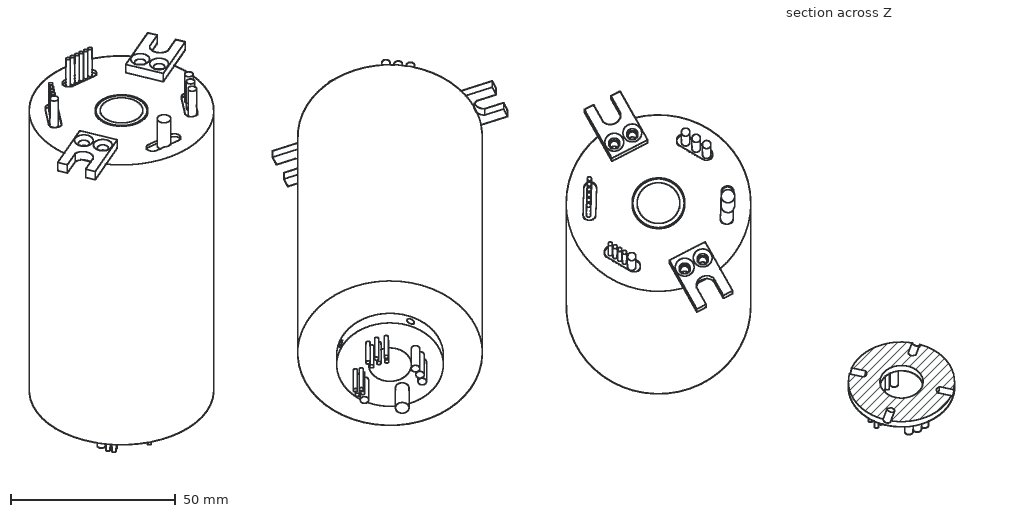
import cadquery as cq
import math

TOTAL_HEIGHT = 129.4
FLANGE_BOTTOM = 9.6
FLANGE_TOP = 14.2
BODY_BOTTOM = 15.1
BODY_TOP = 120.3

BODY_DIAMETER = 56.0
NECK_RADIUS = 14.0
FLANGE_RADIUS = 16.2
BORE_RADIUS = 6.5

GROOVE_INNER_RADIUS = 7.8
GROOVE_OUTER_RADIUS = 8.0
GROOVE_DEPTH = 0.4

TAB_SPAN = 72.0
TAB_WIDTH = 12.3
TAB_LENGTH = 17.6
TAB_THICKNESS = 3.1
FORK_WIDTH = 6.0
FORK_DEPTH = 8.3
FORK_ARC_RISE = 2.1

SCREW_SPACING = 6.2
SCREW_ROW_Y = 22.5
CLEARANCE_RADIUS = 1.7
COUNTERSINK_RADIUS = 2.8
COUNTERSINK_DEPTH = 1.2
PILOT_RADIUS = 1.3
PILOT_DEPTH = 5.2
DRILL_TIP_ANGLE = 118.0

SET_SCREW_RADIUS = 1.2
SET_SCREW_DEPTH = 4.5

SMALL_WIRE_RADIUS = 0.6
MEDIUM_WIRE_RADIUS = 1.3
LARGE_WIRE_RADIUS = 2.1

SLOT_CIRCLE_RADIUS = 20.8
SLOT_ANGLE = 30.0
SLOT_WIDTH = 3.9
SLOT_STRAIGHT = 8.3
SLOT_DEPTH = 1.0
TOP_WIRE_CIRCLE_RADIUS = 21.1

ROW_START = 4.1
SMALL_PITCH = 1.7
MEDIUM_PITCH = 3.8
MIXED_PITCH = 2.6

BOTTOM_WIRE_CIRCLE_RADIUS = 9.8
BOTTOM_ROW_OFFSET = 0.9
BOTTOM_WIRE_ANGLE = 16.0
BOTTOM_PAIR_ANGLE = 10.0


def cylinder(radius, bottom, top):
    return cq.Workplane("XY").workplane(offset=bottom).circle(radius).extrude(top - bottom)


def turned(shape, angle):
    """Shape turned about the Z axis."""
    return shape.rotate((0, 0, 0), (0, 0, 1), angle)


def drilled_hole(radius, depth):
    """Blind hole running down from the origin, with a conical drill tip."""
    tip = radius / math.tan(math.radians(DRILL_TIP_ANGLE / 2))
    outline = [(0, 0), (radius, 0), (radius, -depth), (0, -depth - tip)]
    return cq.Workplane("XZ").polyline(outline).close().revolve(360, (0, 0), (0, 1))


def body():
    housing = cylinder(BODY_DIAMETER / 2, BODY_BOTTOM, BODY_TOP)
    neck = cylinder(NECK_RADIUS, FLANGE_TOP, BODY_BOTTOM)
    flange = cylinder(FLANGE_RADIUS, FLANGE_BOTTOM, FLANGE_TOP)
    return housing.union(neck).union(flange)


def bore():
    return cylinder(BORE_RADIUS, 0, TOTAL_HEIGHT)


def ring_groove():
    outer = cylinder(GROOVE_OUTER_RADIUS, BODY_TOP - GROOVE_DEPTH, BODY_TOP)
    return outer.cut(cylinder(GROOVE_INNER_RADIUS, BODY_TOP - GROOVE_DEPTH, BODY_TOP))


def forked_tab():
    """Tab on the +Y side; its fork opens outward and ends in a shallow arc."""
    outer_end = TAB_SPAN / 2
    inner_end = outer_end - TAB_LENGTH
    fork_bottom = outer_end - FORK_DEPTH
    fork_corner = fork_bottom + FORK_ARC_RISE
    half_tab = TAB_WIDTH / 2
    half_fork = FORK_WIDTH / 2
    return (
        cq.Workplane("XY")
        .workplane(offset=BODY_TOP)
        .moveTo(-half_tab, inner_end)
        .lineTo(half_tab, inner_end)
        .lineTo(half_tab, outer_end)
        .lineTo(half_fork, outer_end)
        .lineTo(half_fork, fork_corner)
        .threePointArc((0, fork_bottom), (-half_fork, fork_corner))
        .lineTo(-half_fork, outer_end)
        .lineTo(-half_tab, outer_end)
        .close()
        .extrude(TAB_THICKNESS)
    )


def tab_screw_hole():
    """Countersunk clearance hole through the tab and a drilled pilot hole in the body."""
    outline = [
        (0, TAB_THICKNESS),
        (COUNTERSINK_RADIUS, TAB_THICKNESS),
        (CLEARANCE_RADIUS, TAB_THICKNESS - COUNTERSINK_DEPTH),
        (CLEARANCE_RADIUS, 0),
        (0, 0),
    ]
    through = cq.Workplane("XZ").polyline(outline).close().revolve(360, (0, 0), (0, 1))
    return through.union(drilled_hole(PILOT_RADIUS, PILOT_DEPTH))


def set_screw_hole(angle):
    hole = drilled_hole(SET_SCREW_RADIUS, SET_SCREW_DEPTH)
    hole = hole.rotate((0, 0, 0), (0, 1, 0), 90)
    middle_height = (FLANGE_BOTTOM + FLANGE_TOP) / 2
    return turned(hole.translate((FLANGE_RADIUS, 0, middle_height)), angle)


def wire_slot(angle):
    slot = (
        cq.Workplane("XY")
        .workplane(offset=BODY_TOP - SLOT_DEPTH)
        .center(SLOT_CIRCLE_RADIUS, 0)
        .slot2D(SLOT_STRAIGHT + SLOT_WIDTH, SLOT_WIDTH, 90)
        .extrude(SLOT_DEPTH)
    )
    return turned(slot, angle)


def top_wire(radius, along, angle):
    """Wire in the slot at the angle, shifted along the slot (counterclockwise is positive)."""
    wire = cylinder(radius, BODY_TOP - SLOT_DEPTH, TOTAL_HEIGHT)
    return turned(wire.translate((TOP_WIRE_CIRCLE_RADIUS, along, 0)), angle)


def bottom_wire(radius, distance, angle):
    wire = cylinder(radius, 0, FLANGE_BOTTOM)
    return turned(wire.translate((distance, 0, 0)), angle)


result = body().cut(bore()).cut(ring_groove())

for side in (0, 180):
    result = result.union(turned(forked_tab(), side))
for x in (-SCREW_SPACING / 2, SCREW_SPACING / 2):
    for y in (-SCREW_ROW_Y, SCREW_ROW_Y):
        result = result.cut(tab_screw_hole().translate((x, y, BODY_TOP)))

for angle in (45, 135, 225, 315):
    result = result.cut(set_screw_hole(angle))

slot_angles = (SLOT_ANGLE, 180 - SLOT_ANGLE, 180 + SLOT_ANGLE, -SLOT_ANGLE)
three_slot, six_slot, mixed_slot, large_slot = slot_angles
for angle in slot_angles:
    result = result.cut(wire_slot(angle))

for i in range(3):
    result = result.union(top_wire(MEDIUM_WIRE_RADIUS, i * MEDIUM_PITCH - ROW_START, three_slot))
for i in range(6):
    result = result.union(top_wire(SMALL_WIRE_RADIUS, ROW_START - i * SMALL_PITCH, six_slot))
for i in range(4):
    result = result.union(top_wire(SMALL_WIRE_RADIUS, i * SMALL_PITCH - ROW_START, mixed_slot))
mixed_medium_place = 3 * SMALL_PITCH + MIXED_PITCH - ROW_START
result = result.union(top_wire(MEDIUM_WIRE_RADIUS, mixed_medium_place, mixed_slot))
result = result.union(top_wire(LARGE_WIRE_RADIUS, 0, large_slot))

small_rows = (BOTTOM_WIRE_CIRCLE_RADIUS - BOTTOM_ROW_OFFSET, BOTTOM_WIRE_CIRCLE_RADIUS + BOTTOM_ROW_OFFSET)
for turn in (-BOTTOM_WIRE_ANGLE, 0, BOTTOM_WIRE_ANGLE):
    for distance in small_rows:
        result = result.union(bottom_wire(SMALL_WIRE_RADIUS, distance, turn))
    result = result.union(bottom_wire(MEDIUM_WIRE_RADIUS, BOTTOM_WIRE_CIRCLE_RADIUS, 90 + turn))
result = result.union(bottom_wire(LARGE_WIRE_RADIUS, BOTTOM_WIRE_CIRCLE_RADIUS, 180))
result = result.union(bottom_wire(MEDIUM_WIRE_RADIUS, BOTTOM_WIRE_CIRCLE_RADIUS, 270 - BOTTOM_WIRE_ANGLE))
for turn in (0, BOTTOM_PAIR_ANGLE):
    for distance in small_rows:
        result = result.union(bottom_wire(SMALL_WIRE_RADIUS, distance, 270 + turn))